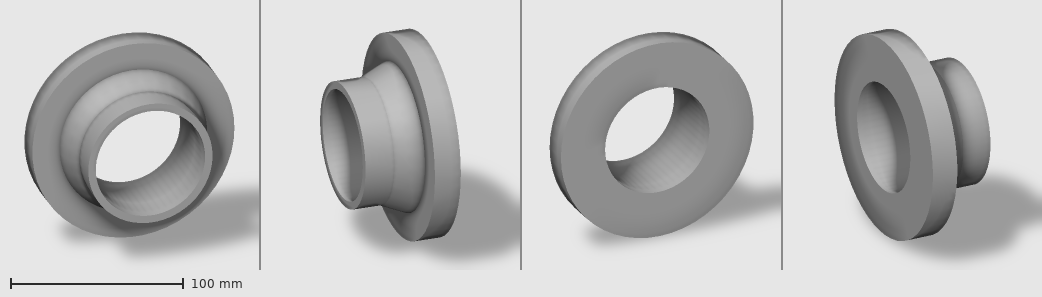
import cadquery as cq

flange_diameter = 122.0
total_length = 50.0
flange_thickness = 16.0
neck_length = 16.2
neck_base_diameter = 89.0
hub_diameter = 75.0
bore_diameter = 66.0

flange_radius = flange_diameter / 2
neck_base_radius = neck_base_diameter / 2
hub_radius = hub_diameter / 2
bore_radius = bore_diameter / 2
neck_end = flange_thickness + neck_length

half_section = (
    cq.Workplane("XY")
    .moveTo(0, bore_radius)
    .lineTo(0, flange_radius)
    .lineTo(flange_thickness, flange_radius)
    .lineTo(flange_thickness, neck_base_radius)
    .lineTo(neck_end, hub_radius)
    .lineTo(total_length, hub_radius)
    .lineTo(total_length, bore_radius)
    .close()
)

result = half_section.revolve(360, (0, 0, 0), (1, 0, 0))